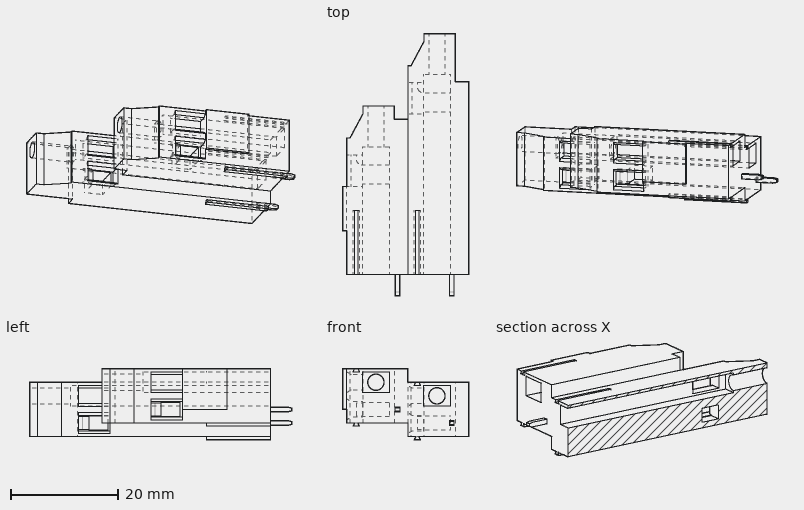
import cadquery as cq


pitch_z = 2.54
module_width = 11.4
module_height = 4 * pitch_z
short_length = 31.5
long_length = 45.0
short_shoulder = 2.5
long_shoulder = 9.0

nose_left = 3.0
nose_right = 8.9
nose_side = 1.5
bevel_start = 0.6
bevel_length = 6.0

row_high = module_height * 3 / 4
row_low = module_height / 4

pocket_left = 2.95
pocket_width = 5.0
pocket_height = 3.8
pocket_overrun = 1.5
driver_hole_diameter = 3.0

window_setback = 9.15
window_length = 5.9
window_height = 3.9
window_depth = pocket_left
window_bevel_depth = 0.8
window_bevel_height = 0.5

recess_height = 2.66
recess_front_margin = 0.44
clamp_length = 1.92
clamp_height = 2.36
clamp_radius = 1.15

dovetail_center = 1.78
dovetail_neck = 0.6
dovetail_base = 1.2
dovetail_height = 0.6
dovetail_length = 12.0

pin_pitch_x = 4 * pitch_z
pin_short_x = 9.47
pin_size = 0.9
pin_length = 4.0
pin_taper_length = 0.75
pin_tip_height = 0.55

plate_thickness = 0.75
plate_height = 3 * pitch_z
plate_front = 8.15
plate_rear = short_length - window_setback - window_length


def box(x_min, x_max, y_min, y_max, z_min, z_max):
    size = (x_max - x_min, y_max - y_min, z_max - z_min)
    return cq.Workplane("XY").box(*size, centered=False).translate((x_min, y_min, z_min))


def module_body(length, shoulder):
    outline = [
        (0, 0),
        (module_width, 0),
        (module_width, length - shoulder),
        (nose_right, length - shoulder),
        (nose_right, length),
        (nose_left, length),
        (nose_left, length - nose_side),
        (bevel_start, length - bevel_length),
        (0, length - bevel_length),
    ]
    return cq.Workplane("XY").polyline(outline).close().extrude(module_height)


def side_window(y_front, z_center):
    """Opening in the left wall, narrowing in height along its bevelled edges."""
    outer = window_height / 2
    inner = outer - window_bevel_height
    section = [
        (0, z_center - outer),
        (window_bevel_depth, z_center - inner),
        (window_depth, z_center - inner),
        (window_depth, z_center + inner),
        (window_bevel_depth, z_center + inner),
        (0, z_center + outer),
    ]
    cut = cq.Workplane("XZ").polyline(section).close().extrude(-window_length)
    return cut.translate((0, y_front, 0))


def clamp_bar(y_rear):
    """Bar on the back of the lower window with a rounded front edge."""
    bar = box(
        window_depth - clamp_radius, window_depth,
        y_rear - clamp_length, y_rear,
        row_low - clamp_height / 2, row_low + clamp_height / 2,
    )
    y_tip = y_rear - clamp_length
    corner = box(
        window_depth - clamp_radius, window_depth,
        y_tip, y_tip + clamp_radius,
        0, module_height,
    )
    round_bar = (
        cq.Workplane("XY")
        .center(window_depth, y_tip + clamp_radius)
        .circle(clamp_radius)
        .extrude(module_height)
    )
    return bar.cut(corner.cut(round_bar))


def dovetail(z_top):
    """Dovetail prism with its neck at z_top and its wide base below."""
    half_neck = dovetail_neck / 2
    half_base = dovetail_base / 2
    z_base = z_top - dovetail_height
    section = [
        (dovetail_center - half_neck, z_top),
        (dovetail_center + half_neck, z_top),
        (dovetail_center + half_base, z_base),
        (dovetail_center - half_base, z_base),
    ]
    return cq.Workplane("XZ").polyline(section).close().extrude(-dovetail_length)


def solder_pin(x_center):
    """Square pin on the front face, with top and bottom tapered at the tip."""
    half = pin_size / 2
    half_tip = pin_tip_height / 2
    y_taper = pin_taper_length - pin_length
    side = [
        (0, row_low - half),
        (y_taper, row_low - half),
        (-pin_length, row_low - half_tip),
        (-pin_length, row_low + half_tip),
        (y_taper, row_low + half),
        (0, row_low + half),
    ]
    pin = cq.Workplane("YZ").polyline(side).close().extrude(pin_size)
    return pin.translate((x_center - half, 0, 0))


def terminal_module(length, shoulder, pin_x):
    window_rear = length - window_setback
    window_front = window_rear - window_length
    pocket_right = pocket_left + pocket_width
    body = module_body(length, shoulder)

    wire_pocket = box(
        pocket_left, pocket_right,
        0, window_rear + pocket_overrun,
        row_high - pocket_height / 2, row_high + pocket_height / 2,
    )
    driver_hole = (
        cq.Workplane("XZ")
        .center(pocket_left + pocket_width / 2, row_high)
        .circle(driver_hole_diameter / 2)
        .extrude(-length)
    )
    body = body.cut(wire_pocket).cut(driver_hole)

    for row in (row_low, row_high):
        body = body.cut(side_window(window_front, row))
    recess = box(
        window_depth, pocket_right,
        window_front + recess_front_margin, window_rear - clamp_length,
        row_low - recess_height / 2, row_low + recess_height / 2,
    )
    body = body.cut(recess).union(clamp_bar(window_rear))

    body = body.cut(dovetail(module_height)).union(dovetail(0))
    return body.union(solder_pin(pin_x))


def side_plate():
    return box(
        -plate_thickness, 0,
        plate_front, plate_rear,
        module_height - plate_height, module_height,
    )


short_module = terminal_module(short_length, short_shoulder, pin_short_x).union(side_plate())
long_module = terminal_module(long_length, long_shoulder, pin_short_x + pin_pitch_x - module_width)
result = short_module.union(long_module.translate((module_width, 0, -pitch_z)))